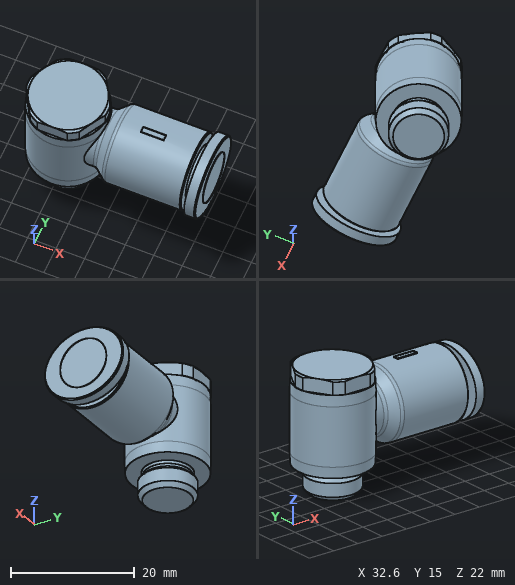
import cadquery as cq
import math

column_radius = 7.0
column_end_radius = 6.9
column_bottom = 5.0
column_taper_low = 7.0
column_taper_high = 17.55
column_top = 19.5

cap_sides = 6
cap_top = 22.0
cap_across_flats = 13.0
cap_chamfer_height = 0.2

spigot_radius = 4.85
spigot_tip_radius = 4.15
spigot_chamfer_height = 0.85
spigot_top = 3.25
undercut_radius = 4.1
undercut_low = 4.0
undercut_high = 4.5
undercut_flare_radius = 4.3

branch_height = 13.05
branch_neck_radius = 5.0
branch_radius = 6.78
branch_cone_start = 6.9
branch_cone_end = 9.0
branch_end = 22.65
branch_end_chamfer = 0.2
neck_fillet = 1.0
shoulder_fillet = 0.9

part_length = 32.6
lip_end = part_length - column_radius
lip_radius = 4.4
lip_height = 0.1
collar_neck_radius = 4.8
collar_start = 23.57
collar_end = lip_end - lip_height
collar_half_width = 7.5
collar_half_height = 6.45
collar_chamfer = 0.2

marker_start = 12.97
marker_length = 4.0
marker_width = 1.0
marker_rise = 0.13


def revolve_about_z(profile):
    """Solid of revolution about Z from (radius, height) points."""
    return cq.Workplane("XZ").polyline(profile).close().revolve(360, (0, 0), (0, 1))


def make_column():
    """Spigot, undercut and column revolved as one profile about Z."""
    profile = [
        (0, 0),
        (spigot_tip_radius, 0),
        (spigot_radius, spigot_chamfer_height),
        (spigot_radius, spigot_top),
        (undercut_radius, undercut_low),
        (undercut_radius, undercut_high),
        (undercut_flare_radius, column_bottom),
        (column_end_radius, column_bottom),
        (column_radius, column_taper_low),
        (column_radius, column_taper_high),
        (column_end_radius, column_top),
        (0, column_top),
    ]
    return revolve_about_z(profile)


def make_cap():
    """Hexagon with two flats facing +Y and -Y, with its corners turned to the column radius."""
    height = cap_top - column_top
    across_corners = cap_across_flats / math.cos(math.pi / cap_sides)
    hexagon = (
        cq.Workplane("XY", origin=(0, 0, column_top))
        .polygon(cap_sides, across_corners)
        .extrude(height)
    )
    top_radius = cap_across_flats / 2
    turned_profile = [
        (0, column_top),
        (column_radius, column_top),
        (column_radius, cap_top - cap_chamfer_height),
        (top_radius, cap_top),
        (0, cap_top),
    ]
    turned = revolve_about_z(turned_profile)
    return hexagon.intersect(turned)


def branch_disc(start, end, radius):
    """Cylinder on the branch axis between two X positions."""
    return cq.Workplane("YZ", origin=(start, 0, branch_height)).circle(radius).extrude(end - start)


def circle_at(body, x_position):
    """Circular edge of the body lying at the given X position."""
    tolerance = 0.003
    return body.edges("%CIRCLE").filter(lambda edge: abs(edge.Center().x - x_position) < tolerance)


def make_branch():
    """Neck, filleted cone and barrel revolved about the branch axis."""
    profile = [
        (0, 0),
        (0, branch_neck_radius),
        (branch_cone_start, branch_neck_radius),
        (branch_cone_end, branch_radius),
        (branch_end, branch_radius),
        (branch_end, 0),
    ]
    body = (
        cq.Workplane("XZ", origin=(0, 0, branch_height))
        .polyline(profile)
        .close()
        .revolve(360, (0, 0), (1, 0))
    )
    body = body.faces(">X").chamfer(branch_end_chamfer)
    body = circle_at(body, branch_cone_start).fillet(neck_fillet)
    return circle_at(body, branch_cone_end).fillet(shoulder_fillet)


def make_collar():
    """Oval collar on a round neck, with a low round lip on its outer face."""
    oval = (
        cq.Workplane("YZ", origin=(collar_start, 0, branch_height))
        .ellipse(collar_half_width, collar_half_height)
        .extrude(collar_end - collar_start)
        .faces(">X")
        .chamfer(collar_chamfer)
    )
    neck = branch_disc(branch_end, collar_start, collar_neck_radius)
    lip = branch_disc(collar_end, lip_end, lip_radius)
    return neck.union(oval).union(lip)


def make_marker():
    """Flat-topped bar standing slightly proud of the barrel."""
    base = branch_height + collar_neck_radius
    top = branch_height + branch_radius + marker_rise
    return (
        cq.Workplane("XY", origin=(marker_start + marker_length / 2, 0, base))
        .rect(marker_length, marker_width)
        .extrude(top - base)
    )


result = (
    make_column()
    .union(make_cap())
    .union(make_branch())
    .union(make_collar())
    .union(make_marker())
)